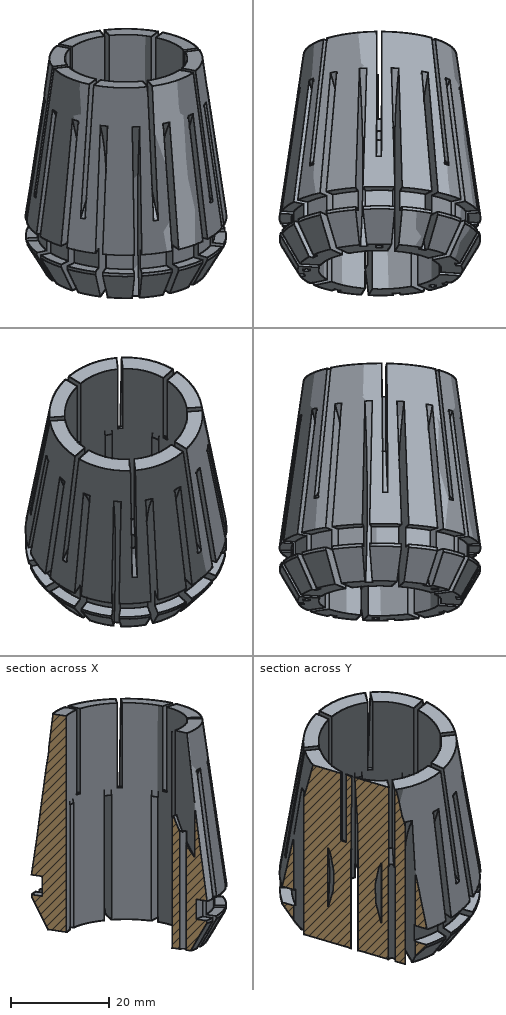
import cadquery as cq
import math

HEIGHT = 46.0
OUTER_RADIUS = 41.05 / 2
FLANGE_RADIUS = 20.42
BORE_RADIUS = 25.0 / 2
CONE_ANGLE = 8.0
NOSE_ANGLE = 30.0

NOSE_TOP = 6.35
FLANGE_TOP = 7.0
GROOVE_TOP = 11.1
GROOVE_RADIUS = 18.1

SLOTS_PER_KIND = 8

WIDE_SLOT_WIDTH = 1.5
WIDE_SLOT_CONE_END = 37.85

SAW_RADIUS = 30.0
THROUGH_SLOT_BORE_END = 26.5

BLIND_SLOT_BOTTOM_RADIUS = 15.75
BLIND_SLOT_FLOOR_ARC = 62.55

NARROW_SLOT_WIDTH = 1.0
NARROW_SLOT_RIDGE_RADIUS = 12.9
NARROW_SLOT_RIDGE_HEIGHT = 28.15
NARROW_SLOT_CONE_END = 17.95
RIDGE_BEVEL_ANGLE = 27.0

HOLE_DIAMETER = 1.45
HOLE_CENTER_RADIUS = 15.0
HOLE_TOP = 25.05
HOLE_SLOT_NUMBERS = (1, 3, 6)

CLEARANCE = 2.3

slot_pitch = 360 / SLOTS_PER_KIND
blind_slot_start = slot_pitch / 2
narrow_slot_start = -slot_pitch / 4
slot_reach = OUTER_RADIUS + CLEARANCE


def cone_radius(z):
    """Radius of the outer cone at height z."""
    return OUTER_RADIUS - (z - GROOVE_TOP) * math.tan(math.radians(CONE_ANGLE))


def make_body():
    """Revolved collet: nose, flange, nut groove and long cone around a plain bore."""
    nose_radius = FLANGE_RADIUS - NOSE_TOP * math.tan(math.radians(NOSE_ANGLE))
    return (
        cq.Workplane("XZ")
        .moveTo(BORE_RADIUS, 0)
        .lineTo(nose_radius, 0)
        .lineTo(FLANGE_RADIUS, NOSE_TOP)
        .lineTo(FLANGE_RADIUS, FLANGE_TOP)
        .lineTo(GROOVE_RADIUS, FLANGE_TOP)
        .lineTo(GROOVE_RADIUS, GROOVE_TOP)
        .lineTo(OUTER_RADIUS, GROOVE_TOP)
        .lineTo(cone_radius(HEIGHT), HEIGHT)
        .lineTo(BORE_RADIUS, HEIGHT)
        .close()
        .revolve(360, (0, 0, 0), (0, 1, 0))
    )


def make_through_slot():
    """Cutting shape of one wide slot into the bore, lying along +X."""
    return (
        cq.Workplane("XZ")
        .moveTo(0, -CLEARANCE)
        .lineTo(0, THROUGH_SLOT_BORE_END)
        .lineTo(BORE_RADIUS, THROUGH_SLOT_BORE_END)
        .radiusArc((cone_radius(WIDE_SLOT_CONE_END), WIDE_SLOT_CONE_END), SAW_RADIUS)
        .lineTo(slot_reach, WIDE_SLOT_CONE_END)
        .lineTo(slot_reach, -CLEARANCE)
        .close()
        .extrude(WIDE_SLOT_WIDTH / 2, both=True)
    )


def make_blind_slot():
    """Cutting shape of one wide slot that stops short of the bore, lying along +X."""
    return (
        cq.Workplane("XZ")
        .moveTo(BLIND_SLOT_BOTTOM_RADIUS, 0)
        .radiusArc((cone_radius(WIDE_SLOT_CONE_END), WIDE_SLOT_CONE_END), BLIND_SLOT_FLOOR_ARC)
        .lineTo(slot_reach, WIDE_SLOT_CONE_END)
        .lineTo(slot_reach, 0)
        .close()
        .extrude(WIDE_SLOT_WIDTH / 2, both=True)
    )


def make_narrow_slot():
    """Cutting shape of one narrow slot, lying along +X."""
    inner_radius = BORE_RADIUS - CLEARANCE
    bevel_drop = (NARROW_SLOT_RIDGE_RADIUS - inner_radius) * math.tan(math.radians(RIDGE_BEVEL_ANGLE))
    return (
        cq.Workplane("XZ")
        .moveTo(inner_radius, HEIGHT + CLEARANCE)
        .lineTo(inner_radius, NARROW_SLOT_RIDGE_HEIGHT - bevel_drop)
        .lineTo(NARROW_SLOT_RIDGE_RADIUS, NARROW_SLOT_RIDGE_HEIGHT)
        .radiusArc((cone_radius(NARROW_SLOT_CONE_END), NARROW_SLOT_CONE_END), -SAW_RADIUS)
        .lineTo(slot_reach, NARROW_SLOT_CONE_END)
        .lineTo(slot_reach, HEIGHT + CLEARANCE)
        .close()
        .extrude(NARROW_SLOT_WIDTH / 2, both=True)
    )


def make_hole():
    """Cutting shape of one axial hole, centred on +X."""
    return (
        cq.Workplane("XY")
        .center(HOLE_CENTER_RADIUS, 0)
        .circle(HOLE_DIAMETER / 2)
        .extrude(HOLE_TOP)
    )


def turned(shape, angle):
    """The shape turned about the collet axis."""
    return shape.rotate((0, 0, 0), (0, 0, 1), angle)


through_slot = make_through_slot()
blind_slot = make_blind_slot()
narrow_slot = make_narrow_slot()
hole = make_hole()

result = make_body()
for i in range(SLOTS_PER_KIND):
    result = result.cut(turned(through_slot, i * slot_pitch))
    result = result.cut(turned(blind_slot, blind_slot_start + i * slot_pitch))
    result = result.cut(turned(narrow_slot, narrow_slot_start + i * slot_pitch))

for i in HOLE_SLOT_NUMBERS:
    result = result.cut(turned(hole, narrow_slot_start + i * slot_pitch))